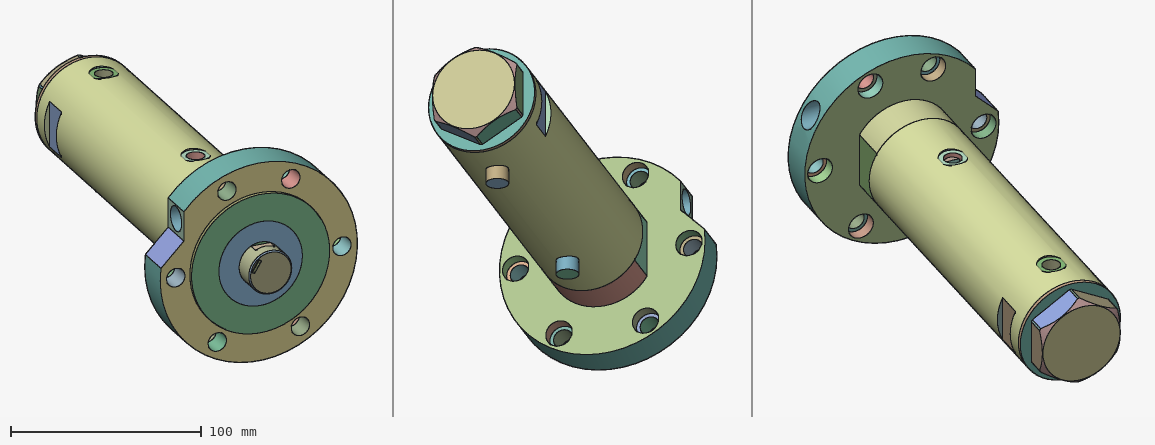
import cadquery as cq
import math


head_length = 13.0
collar_thickness = 2.2
tube_start = head_length + collar_thickness
gland_start = 152.6
tube_end = 190.3
flange_start = 210.7
flange_thickness = 19.7
flange_end = flange_start + flange_thickness
boss_end = 232.7
overall_length = 246.2

tube_radius = 58.8 / 2
bore_radius = 21.0
wrench_flat_start = 24.9
wrench_flat_length = 15.0
wrench_flat_half_width = 26.3

port_positions = (35.5, 151.0)
port_radius = 5.0
spotface_radius = 15.5 / 2
spotface_z = 28.5

stud_positions = (39.0, 153.9)
stud_radius = 12.0 / 2
stud_tip_z = -37.0

hexagon_across_flats = 45.8
head_turned_radius = 26.0
head_chamfer = 3.5
plug_spigot_end = 24.5
nose_radius = 16.2
nose_end = 38.0

gland_spigot_radius = 26.0
neck_half_width = 24.9
gland_stem_radius = 24.1

flange_radius = 114.0 / 2
boss_radius = 40.0
bolt_circle_radius = 48.0
bolt_angles = (-60, 0, 67.4)
bolt_hole_radius = 10.5 / 2
counterbore_radius = 14.5 / 2
counterbore_depth = 7.0
notch_wall_y = -43.3
notch_floor_z = 20.2
cross_hole_radius = 14.0 / 2
cross_hole_z = 29.0

rod_radius = 24.9 / 2
piston_end = 59.0
key_flat_half_height = 11.0
key_flat_end = 238.5
rod_chamfer = 0.7
bar_length = 7.6
bar_width = 1.5
bar_height = 0.7
bar_offset = 9.8
bar_angle = 32.0
shank_end = overall_length - bar_height


def disc(start, end, radius):
    """Cylinder on the X axis between two stations."""
    return cq.Workplane("YZ", origin=(start, 0, 0)).circle(radius).extrude(end - start)


def post(x, bottom, top, radius):
    """Cylinder parallel to Z that crosses the X axis."""
    return cq.Workplane("XY", origin=(x, 0, bottom)).circle(radius).extrude(top - bottom)


def outside_flats(start, end, half_width):
    """The two blocks to cut away to leave flats that face -Y and +Y."""
    depth = tube_radius - half_width
    offset = half_width + depth / 2
    return (
        cq.Workplane("XY", origin=((start + end) / 2, 0, 0))
        .pushPoints([(0, -offset), (0, offset)])
        .box(end - start, depth, 2 * tube_radius)
    )


def build_tube():
    tube = disc(tube_start, tube_end, tube_radius)
    wrench_flat_end = wrench_flat_start + wrench_flat_length
    tube = tube.cut(outside_flats(wrench_flat_start, wrench_flat_end, wrench_flat_half_width))

    for x in stud_positions:
        tube = tube.union(post(x, stud_tip_z, 0, stud_radius))

    tube = tube.cut(disc(tube_start, gland_start, bore_radius))
    tube = tube.cut(disc(gland_start, tube_end, gland_spigot_radius))

    for x in port_positions:
        tube = tube.cut(post(x, 0, tube_radius, port_radius))
        tube = tube.cut(post(x, spotface_z, tube_radius, spotface_radius))
    return tube


def build_plug():
    corner_diameter = hexagon_across_flats / math.cos(math.pi / 6)
    hexagon = (
        cq.Workplane("YZ")
        .polygon(6, corner_diameter)
        .extrude(head_length)
        .rotate((0, 0, 0), (1, 0, 0), 30)
    )
    turned = disc(0, head_length, head_turned_radius).faces("<X").chamfer(head_chamfer)
    head = hexagon.intersect(turned)

    collar = disc(head_length, tube_start, tube_radius)
    spigot = disc(tube_start, plug_spigot_end, bore_radius)
    nose = disc(plug_spigot_end, nose_end, nose_radius)
    return head.union(collar).union(spigot).union(nose)


def build_gland():
    spigot = disc(gland_start, tube_end, gland_spigot_radius)
    neck = disc(tube_end, flange_start, tube_radius)
    neck = neck.cut(outside_flats(tube_end, flange_start, neck_half_width))
    stem = disc(flange_start, boss_end, gland_stem_radius)
    rod_hole = disc(gland_start, boss_end, rod_radius)
    return spigot.union(neck).union(stem).cut(rod_hole)


def flange_notch():
    """Notch at the -Y rim: a vertical wall, and a floor that falls outward at 45 degrees."""
    reach = flange_radius
    return (
        cq.Workplane("YZ", origin=(flange_start, 0, 0))
        .moveTo(notch_wall_y, notch_floor_z)
        .lineTo(notch_wall_y, notch_floor_z + reach)
        .lineTo(notch_wall_y - reach, notch_floor_z + reach)
        .lineTo(notch_wall_y - reach, notch_floor_z - reach)
        .close()
        .extrude(flange_thickness)
    )


def bolt_hole(y, z):
    """Through hole with a counterbore on the tube side."""
    center = cq.Workplane("YZ", origin=(flange_start, y, z))
    hole = center.circle(bolt_hole_radius).extrude(flange_thickness)
    return hole.union(center.circle(counterbore_radius).extrude(counterbore_depth))


def build_flange():
    flange = disc(flange_start, flange_end, flange_radius)
    flange = flange.cut(flange_notch())
    for side in (-1, 1):
        for angle in bolt_angles:
            y = side * bolt_circle_radius * math.cos(math.radians(angle))
            z = bolt_circle_radius * math.sin(math.radians(angle))
            flange = flange.cut(bolt_hole(y, z))

    flange = flange.union(disc(flange_end, boss_end, boss_radius))
    flange = flange.cut(disc(flange_start, boss_end, gland_stem_radius))

    cross_hole = (
        cq.Workplane("XZ", origin=(flange_start + flange_thickness / 2, 0, cross_hole_z))
        .circle(cross_hole_radius)
        .extrude(flange_radius, both=True)
    )
    return flange.cut(cross_hole)


def build_rod():
    piston = disc(nose_end, piston_end, bore_radius)
    shank = disc(piston_end, shank_end, rod_radius).faces(">X").chamfer(rod_chamfer)

    flat_length = key_flat_end - boss_end
    flat_depth = rod_radius - key_flat_half_height
    for side in (-1, 1):
        z = side * (key_flat_half_height + flat_depth / 2)
        flat = cq.Workplane("XY", origin=(boss_end + flat_length / 2, 0, z))
        shank = shank.cut(flat.box(flat_length, 2 * rod_radius, flat_depth))

    bar = (
        cq.Workplane("YZ", origin=(shank_end, 0, 0))
        .center(-bar_offset, 0)
        .rect(bar_width, bar_length)
        .extrude(bar_height)
        .rotate((0, 0, 0), (1, 0, 0), -bar_angle)
    )
    return piston.union(shank).union(bar)


tube = build_tube()
plug = build_plug()
gland = build_gland()
flange = build_flange()
rod = build_rod()

result = cq.Compound.makeCompound([tube.val(), plug.val(), gland.val(), flange.val(), rod.val()])